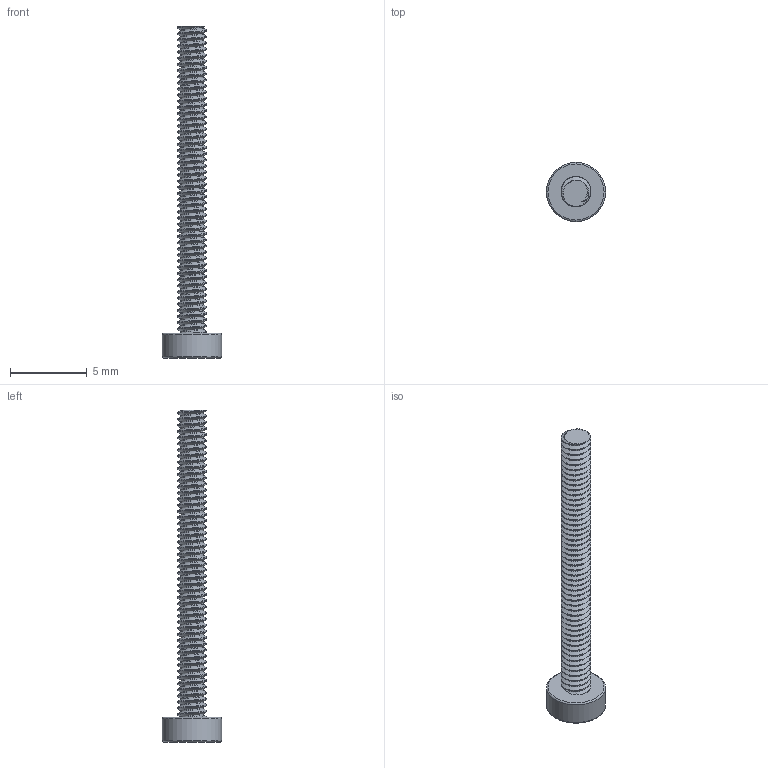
import cadquery as cq
import math

head_diameter = 3.85
head_height = 1.6
head_edge_radius = 0.1

shank_length = 20.0
thread_pitch = 0.4
major_diameter = 1.93
minor_diameter = 1.48
crest_width = thread_pitch / 8
flank_half_angle = 30.0
thread_start_angle = -90.0

ridge_overlap = 0.02

major_radius = major_diameter / 2
minor_radius = minor_diameter / 2


def make_head():
    """Round head standing on the XY plane."""
    head = cq.Workplane("XY").circle(head_diameter / 2).extrude(head_height)
    return head.edges("%CIRCLE").fillet(head_edge_radius)


def make_core():
    """Plain cylinder at the root of the thread."""
    core = cq.Workplane("XY").workplane(offset=head_height)
    return core.circle(minor_radius).extrude(shank_length)


def make_thread_ridge():
    """Right-handed ridge, started one pitch into the head and trimmed flush with the shank end."""
    inner_radius = minor_radius - ridge_overlap
    flank_rise = (major_radius - inner_radius) * math.tan(math.radians(flank_half_angle))
    crest_half = crest_width / 2
    base_half = crest_half + flank_rise
    helix_length = shank_length + 2 * thread_pitch

    helix = cq.Wire.makeHelix(thread_pitch, helix_length, inner_radius)
    profile = cq.Workplane("XZ").polyline([
        (inner_radius, -base_half),
        (major_radius, -crest_half),
        (major_radius, crest_half),
        (inner_radius, base_half),
    ]).close()
    ridge = profile.sweep(cq.Workplane(helix), isFrenet=True)
    ridge = ridge.rotate((0, 0, 0), (0, 0, 1), thread_start_angle)
    ridge = ridge.translate((0, 0, head_height - thread_pitch))

    end_trim = (
        cq.Workplane("XY")
        .workplane(offset=head_height + shank_length)
        .circle(major_diameter)
        .extrude(2 * thread_pitch)
    )
    return ridge.cut(end_trim)


result = make_head().union(make_core()).union(make_thread_ridge())